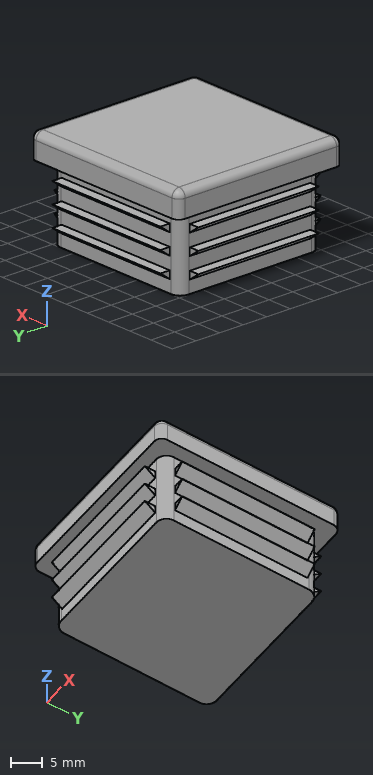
import cadquery as cq

cap_width = 35.0
cap_height = 5.0
cap_radius = 1.47

total_height = 19.5
plug_height = total_height - cap_height
plug_width = 30.0
plug_radius = 2.0

fin_tip_span = 34.0
fin_reach = (fin_tip_span - plug_width) / 2
fin_length = 25.5
fin_height = 1.5
fin_pitch = 4.0
fin_count = 3
top_fin_drop = 2.52
fin_embed = 0.35
side_count = 4


def make_cap():
    """Square slab with rounded corners and a rounded top edge."""
    cap = cq.Workplane("XY").workplane(offset=plug_height).rect(cap_width, cap_width).extrude(cap_height)
    return cap.edges("|Z or >Z").fillet(cap_radius)


def make_plug():
    """Square block with rounded vertical corners, standing on Z = 0."""
    plug = cq.Workplane("XY").rect(plug_width, plug_width).extrude(plug_height)
    return plug.edges("|Z").fillet(plug_radius)


def make_fin(top_z):
    """Fin on the +X side: flat on top, sloping back to the plug underneath."""
    face_x = plug_width / 2
    profile = [
        (face_x - fin_embed, top_z),
        (face_x + fin_reach, top_z),
        (face_x, top_z - fin_height),
        (face_x - fin_embed, top_z - fin_height),
    ]
    return cq.Workplane("XZ").polyline(profile).close().extrude(fin_length / 2, both=True)


result = make_cap().union(make_plug())
for level in range(fin_count):
    fin = make_fin(plug_height - top_fin_drop - level * fin_pitch)
    for side in range(side_count):
        result = result.union(fin.rotate((0, 0, 0), (0, 0, 1), side * 360 / side_count))